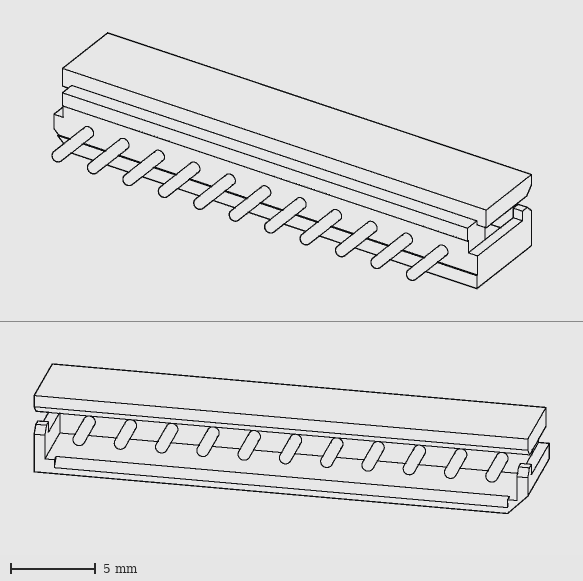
import cadquery as cq


length = 29.9
height = 4.9
overall_depth = 9.4
body_depth = 5.92

roof_depth = 4.9
roof_thickness = 1.23
floor_thickness = 0.9
end_wall = 0.65
back_wall_inner_depth = 4.0
back_wall_height = 3.95
mouth_chamfer = 0.5

sill_height = 2.2
hook_height = 2.87
hook_depth = 1.0
hook_chamfer = 0.45

recess_depth = 0.1
recess_top = 3.05

corner_bevel = 1.23

pin_count = 11
pin_row_length = 25.0
pin_diameter = 0.72
pin_height = 1.8
pin_tip_radius = 0.2

roof_underside = height - roof_thickness
wall_length = length - 2 * end_wall
half_length = length / 2
pin_pitch = pin_row_length / (pin_count - 1)


def extrude_along_x(points, width, x_start):
    """Extrude a closed (Y, Z) outline along +X, starting at x_start."""
    return cq.Workplane("YZ", origin=(x_start, 0, 0)).polyline(points).close().extrude(width)


def make_roof():
    outline = [
        (0, height),
        (-roof_depth, height),
        (-roof_depth, roof_underside),
        (-mouth_chamfer, roof_underside),
        (0, roof_underside + mouth_chamfer),
    ]
    return extrude_along_x(outline, length, -half_length)


def make_floor_and_back_wall():
    outline = [
        (0, 0),
        (-body_depth, 0),
        (-body_depth, back_wall_height),
        (-back_wall_inner_depth, back_wall_height),
        (-back_wall_inner_depth, floor_thickness),
        (0, floor_thickness),
    ]
    return extrude_along_x(outline, wall_length, -wall_length / 2)


def make_floor_chamfer():
    """Lead-in on the floor at the mouth, ending where the corner bevel begins."""
    outline = [
        (0, floor_thickness),
        (-mouth_chamfer, floor_thickness),
        (0, floor_thickness - mouth_chamfer),
    ]
    chamfer_length = length - 2 * corner_bevel
    return extrude_along_x(outline, chamfer_length, -chamfer_length / 2)


def make_end_wall(x_start):
    """Low end wall with an upright hook at the mouth."""
    outline = [
        (0, 0),
        (-body_depth, 0),
        (-body_depth, sill_height),
        (-hook_depth, sill_height),
        (-hook_depth, hook_height),
        (-hook_chamfer, hook_height),
        (0, hook_height - hook_chamfer),
    ]
    return extrude_along_x(outline, end_wall, x_start)


def make_back_recess():
    outline = [
        (-body_depth, floor_thickness),
        (-body_depth, recess_top),
        (-body_depth + recess_depth, recess_top),
        (-body_depth + recess_depth, floor_thickness),
    ]
    return extrude_along_x(outline, length, -half_length)


def make_corner_bevel():
    return (
        cq.Workplane("XZ")
        .polyline([
            (-half_length, 0),
            (-half_length + corner_bevel, 0),
            (-half_length, corner_bevel),
        ])
        .close()
        .extrude(body_depth)
    )


def make_pin(x):
    """Round pin through the back wall, its inner end level with the back of the hooks."""
    return (
        cq.Workplane("XZ", origin=(x, -hook_depth, pin_height))
        .circle(pin_diameter / 2)
        .extrude(overall_depth - hook_depth)
        .faces("<Y or >Y")
        .edges()
        .fillet(pin_tip_radius)
    )


result = make_floor_and_back_wall().cut(make_floor_chamfer()).union(make_roof())
for end_start in (-half_length, half_length - end_wall):
    result = result.union(make_end_wall(end_start))
result = result.cut(make_back_recess()).cut(make_corner_bevel())

for index in range(pin_count):
    pin_x = -pin_row_length / 2 + index * pin_pitch
    result = result.union(make_pin(pin_x))